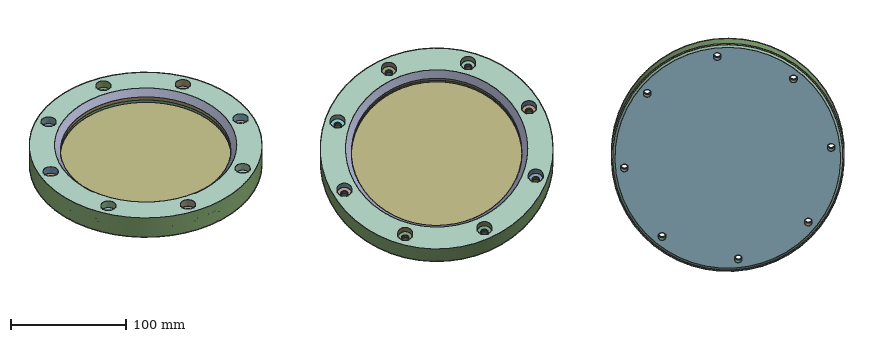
import cadquery as cq

OUTER_DIAMETER = 202.0
TOTAL_HEIGHT = 23.5

FLANGE_BOTTOM = 1.8
OPENING_DIAMETER = 147.9
OPENING_CHAMFER_WIDTH = 5.0
OPENING_CHAMFER_DEPTH = 5.9
FLANGE_LIP_THICKNESS = 9.3

RECESS_DIAMETER = 199.5
GASKET_THICKNESS = 2.6
PLATE_CHAMFER = 2.0
RECESS_TOP = TOTAL_HEIGHT - FLANGE_LIP_THICKNESS
PLATE_THICKNESS = RECESS_TOP - GASKET_THICKNESS

SCREW_COUNT = 8
SCREW_CIRCLE_DIAMETER = 180.2
SCREW_HOLE_DIAMETER = 6.7
COUNTERBORE_DIAMETER = 13.1
COUNTERBORE_DEPTH = 7.3


def disc(diameter, bottom, height):
    """Upright cylinder centred on the Z axis."""
    return cq.Workplane("XY").workplane(offset=bottom).circle(diameter / 2).extrude(height)


def screw_pattern(diameter, bottom, height):
    """Cylinders at every screw position, used as cutters."""
    return (
        cq.Workplane("XY")
        .workplane(offset=bottom)
        .polarArray(SCREW_CIRCLE_DIAMETER / 2, 0, 360, SCREW_COUNT)
        .circle(diameter / 2)
        .extrude(height)
    )


def opening_chamfer():
    """Cone that widens the flange opening towards the top face."""
    lower_radius = OPENING_DIAMETER / 2
    return cq.Workplane(
        cq.Solid.makeCone(
            lower_radius,
            lower_radius + OPENING_CHAMFER_WIDTH,
            OPENING_CHAMFER_DEPTH,
            pnt=cq.Vector(0, 0, TOTAL_HEIGHT - OPENING_CHAMFER_DEPTH),
        )
    )


def make_flange(screw_holes):
    """Flange with a bevelled opening, counterbored screw holes and a recess below its lip."""
    blank = disc(OUTER_DIAMETER, FLANGE_BOTTOM, TOTAL_HEIGHT - FLANGE_BOTTOM)
    recess = disc(RECESS_DIAMETER, FLANGE_BOTTOM, RECESS_TOP - FLANGE_BOTTOM)
    opening = disc(OPENING_DIAMETER, RECESS_TOP, FLANGE_LIP_THICKNESS)
    counterbores = screw_pattern(
        COUNTERBORE_DIAMETER, TOTAL_HEIGHT - COUNTERBORE_DEPTH, COUNTERBORE_DEPTH
    )
    return blank.cut(recess).cut(opening).cut(opening_chamfer()).cut(counterbores).cut(screw_holes)


def make_gasket(screw_holes):
    """Flat ring between the flange lip and the window plate."""
    ring = disc(RECESS_DIAMETER, PLATE_THICKNESS, GASKET_THICKNESS)
    opening = disc(OPENING_DIAMETER, PLATE_THICKNESS, GASKET_THICKNESS)
    return ring.cut(opening).cut(screw_holes)


def make_window_plate(screw_holes):
    """Thick disc with a chamfered bottom edge that stands out below the flange."""
    plate = disc(RECESS_DIAMETER, 0, PLATE_THICKNESS)
    return plate.faces("<Z").edges().chamfer(PLATE_CHAMFER).cut(screw_holes)


screw_holes = screw_pattern(SCREW_HOLE_DIAMETER, 0, TOTAL_HEIGHT)
flange = make_flange(screw_holes)
gasket = make_gasket(screw_holes)
window_plate = make_window_plate(screw_holes)

bodies = [flange, gasket, window_plate]
result = cq.Compound.makeCompound([body.solids().val() for body in bodies])